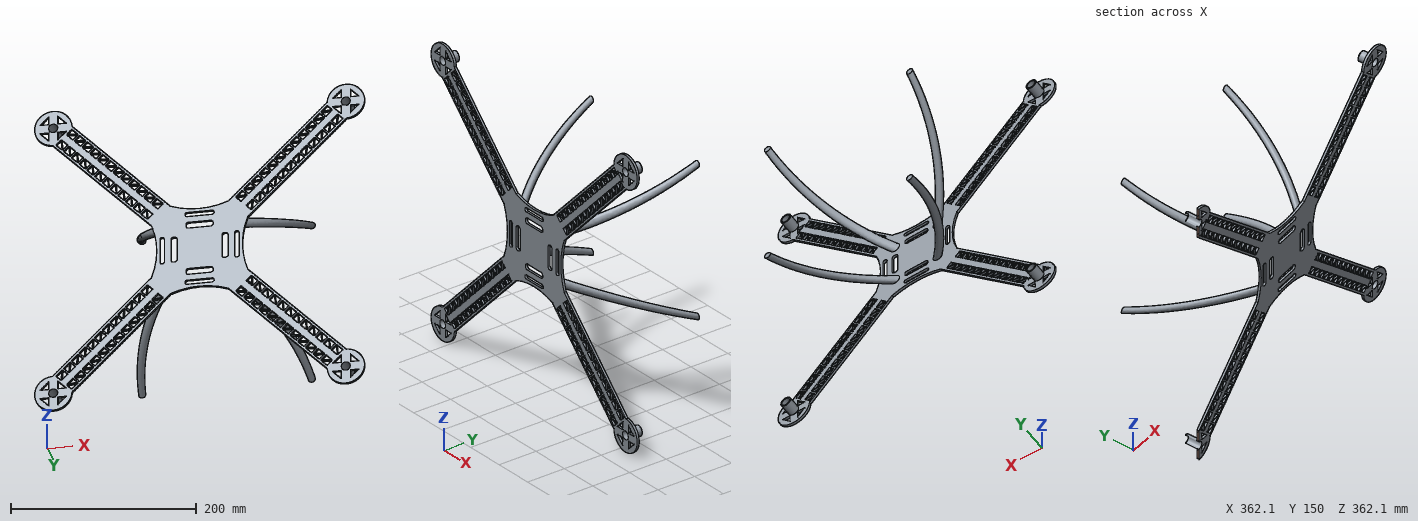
import math

import cadquery as cq

overall_span = 362.05
plate_thickness = 3.0

mount_distance = 227.0
mount_offset = mount_distance / math.sqrt(2)
mount_radius = overall_span / 2 - mount_offset
motor_hole_diameter = 10.0
boss_diameter = 13.0
boss_height = 15.0
mount_spoke_width = 10.0
mount_window_leg = 9.4

arm_width = 30.0
spine_width = 8.0
cell_count = 12
cell_length = 10.0
cell_height = 8.25
cell_wall = 2.0
lattice_start = 68.4
brace_width = 1.0

body_half_width = 47.0
body_corner_near = 31.7
body_corner_far = body_corner_near + arm_width / math.sqrt(2)

inner_slot_length = 30.0
inner_slot_width = 7.0
inner_slot_offset = 28.0
inner_slot_corner_radius = 3.0
outer_slot_length = 32.0
outer_slot_width = 5.0
outer_slot_offset = 41.0

overall_depth = 150.0
leg_root_diameter = 12.0
leg_tip_diameter = 8.0
leg_root_offset = 28.0
leg_tip_offset = 93.0
leg_arc_radius = 297.0
leg_section_count = 7

QUARTER_TURNS = (0, 90, 180, 270)
ARM_ANGLE = 45


def plate_sketch(start=0.0):
    """Sketch plane parallel to XZ at depth Y = start; its normal points to -Y."""
    return cq.Workplane("XZ", origin=(0, start, 0))


def around_y(shape, angle):
    """Shape turned about the Y axis by an angle in degrees."""
    return shape.rotate((0, 0, 0), (0, 1, 0), angle)


def polygon(points, thickness):
    """Prism from Y = 0 to Y = thickness."""
    return plate_sketch().polyline(points).close().extrude(-thickness)


def centre_body():
    """Four concave sides joined by straight ends as wide as the arms."""
    near = body_corner_near
    far = body_corner_far
    return (
        plate_sketch()
        .moveTo(-near, far)
        .threePointArc((0, body_half_width), (near, far))
        .lineTo(far, near)
        .threePointArc((body_half_width, 0), (far, -near))
        .lineTo(near, -far)
        .threePointArc((0, -body_half_width), (-near, -far))
        .lineTo(-far, -near)
        .threePointArc((-body_half_width, 0), (-far, near))
        .close()
        .extrude(-plate_thickness)
    )


def slots():
    """The two slots on the +Z side of the centre body."""
    inner = (
        plate_sketch()
        .center(0, inner_slot_offset)
        .rect(inner_slot_length, inner_slot_width)
        .extrude(-plate_thickness)
        .edges("|Y")
        .fillet(inner_slot_corner_radius)
    )
    outer = (
        plate_sketch()
        .center(0, outer_slot_offset)
        .slot2D(outer_slot_length, outer_slot_width)
        .extrude(-plate_thickness)
    )
    return inner.union(outer)


def lattice_windows():
    """Triangular windows on both sides of the spine of an arm along +X."""
    windows = []
    bottom = spine_width / 2
    top = bottom + cell_height
    gap_along = brace_width / 2 * math.hypot(cell_length, cell_height) / cell_height
    gap_across = gap_along * cell_height / cell_length
    for index in range(cell_count):
        left = lattice_start + index * (cell_length + cell_wall)
        right = left + cell_length
        for side in (1, -1):
            spine_triangle = [
                (left, side * bottom),
                (right - gap_along, side * bottom),
                (left, side * (top - gap_across)),
            ]
            rim_triangle = [
                (right, side * top),
                (left + gap_along, side * top),
                (right, side * (bottom + gap_across)),
            ]
            windows.append(polygon(spine_triangle, plate_thickness).val())
            windows.append(polygon(rim_triangle, plate_thickness).val())
    return cq.Workplane(cq.Compound.makeCompound(windows))


def arm():
    """Solid arm along +X, from the Y axis to the mount centre."""
    return (
        plate_sketch()
        .center(mount_distance / 2, 0)
        .rect(mount_distance, arm_width)
        .extrude(-plate_thickness)
    )


def mount():
    """Motor mount disc with its boss, centred on the Y axis."""
    disc = plate_sketch().circle(mount_radius).extrude(-plate_thickness)
    boss = plate_sketch(plate_thickness).circle(boss_diameter / 2).extrude(-boss_height)
    return disc.union(boss)


def mount_cutout():
    """Through motor hole and the four windows between the spokes of a mount."""
    cutout = plate_sketch().circle(motor_hole_diameter / 2).extrude(-plate_thickness - boss_height)
    corner = mount_spoke_width / 2
    end = corner + mount_window_leg
    window = polygon([(corner, corner), (end, corner), (corner, end)], plate_thickness)
    for angle in QUARTER_TURNS:
        cutout = cutout.union(around_y(window, angle))
    return cutout


def leg():
    """Landing leg in the +X +Z corner."""
    rise = overall_depth - plate_thickness
    reach = leg_tip_offset - leg_root_offset
    length = math.hypot(rise, reach)
    chord = math.hypot(length, reach)
    chord_angle = math.atan2(reach, length)
    mid_drop = math.sqrt(leg_arc_radius**2 - (chord / 2) ** 2)
    arc_centre_x = leg_root_offset + reach / 2 - mid_drop * math.cos(chord_angle)
    arc_centre_along = length / 2 + mid_drop * math.sin(chord_angle)
    sections = []
    for index in range(leg_section_count):
        t = index / (leg_section_count - 1)
        along = t * length - arc_centre_along
        x = arc_centre_x + math.sqrt(leg_arc_radius**2 - along**2)
        y = plate_thickness + t * rise
        z = leg_root_offset + t * reach
        radius = (leg_root_diameter + t * (leg_tip_diameter - leg_root_diameter)) / 2
        sections.append(cq.Wire.makeCircle(radius, cq.Vector(x, y, z), cq.Vector(0, 1, 0)))
    return cq.Workplane(cq.Solid.makeLoft(sections))


def mirrored_corners(shape):
    """Copies of a +X +Z corner shape in all four corners."""
    left = shape.mirror("YZ")
    return [shape, left, shape.mirror("XY"), left.mirror("XY")]


frame = centre_body()
straight_arm = arm()
hub = mount()
hub_cutout = mount_cutout()
lattice = lattice_windows()
slot_pair = slots()

for angle in QUARTER_TURNS:
    frame = frame.union(around_y(straight_arm, angle + ARM_ANGLE))

for x_side in (1, -1):
    for z_side in (1, -1):
        place = (x_side * mount_offset, 0, z_side * mount_offset)
        frame = frame.union(hub.translate(place)).cut(hub_cutout.translate(place))

for angle in QUARTER_TURNS:
    frame = frame.cut(around_y(lattice, angle + ARM_ANGLE))
    frame = frame.cut(around_y(slot_pair, angle))

for corner_leg in mirrored_corners(leg()):
    frame = frame.union(corner_leg)

result = frame